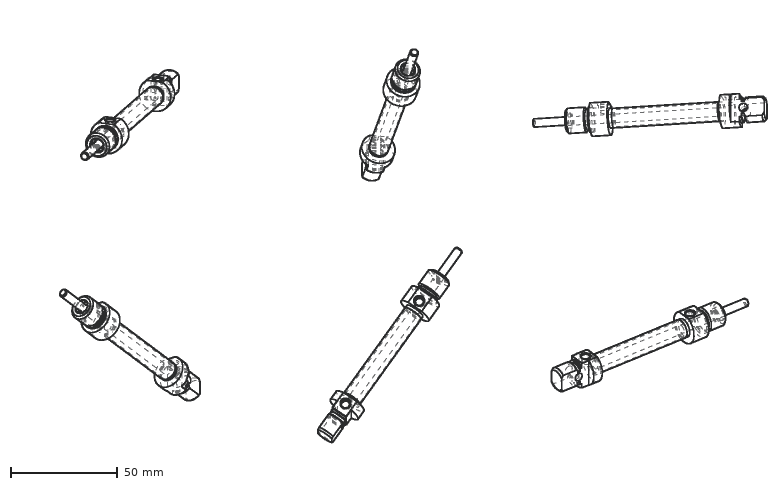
import cadquery as cq


rod_diameter = 4.0
rod_tip_chamfer = 0.5

barrel_diameter = 9.3
barrel_bore = 8.0
neck_diameter = 9.2
barrel_start = 38.2
barrel_end = 88.8

block_diameter = 16.0
flat_height = 7.0
front_block_start = 27.9
front_block_end = 36.6
rear_block_start = 90.1
rear_block_end = 99.1

thread_diameter = 12.0
undercut_diameter = 10.0
collar_length = 1.0
undercut_length = 1.3
runout_length = 0.5
end_chamfer = 1.0
front_nose_start = 15.9
overall_length = 111.0

recess_mouth_diameter = 7.1
recess_diameter = 6.7
recess_chamfer = (recess_mouth_diameter - recess_diameter) / 2
recess_depth = 2.4
taper_start_diameter = 4.7
taper_end_diameter = 4.4
taper_length = 0.5

port_diameter = 4.1
port_mouth_diameter = 5.1
port_floor_diameter = 8.0
port_chamfer = (port_mouth_diameter - port_diameter) / 2
front_port_y = 33.1
rear_port_y = 94.0

tongue_width = 8.0
tongue_start = 95.1
pivot_diameter = 4.0
pivot_y = 101.0


def revolve_profile(points):
    """Solid of revolution about Y from (radius, y) points."""
    return cq.Workplane("XY").polyline(points).close().revolve(360, (0, 0, 0), (0, 1, 0))


def cylinder(diameter, start, end):
    return revolve_profile([(0, start), (diameter / 2, start), (diameter / 2, end), (0, end)])


def make_block(start, end):
    """Round block with a flat top."""
    above_flat = cq.Workplane("XY").box(
        block_diameter, end - start, block_diameter, centered=(True, False, False)
    ).translate((0, start, flat_height))
    return cylinder(block_diameter, start, end).cut(above_flat)


def make_nose(block_face, tip, direction):
    """Collar, undercut and chamfered thread, from the block face outward along +Y or -Y."""
    thread_radius = thread_diameter / 2
    undercut_radius = undercut_diameter / 2
    collar_end = block_face + direction * collar_length
    undercut_end = collar_end + direction * undercut_length
    runout_end = undercut_end + direction * runout_length
    return revolve_profile([
        (0, block_face),
        (thread_radius, block_face),
        (thread_radius, collar_end),
        (undercut_radius, collar_end),
        (undercut_radius, undercut_end),
        (thread_radius, runout_end),
        (thread_radius, tip - direction * end_chamfer),
        (thread_radius - end_chamfer, tip),
        (0, tip),
    ])


def make_port(y):
    """Cutter for a blind port with a chamfered mouth and a floor curved around the Y axis."""
    port_radius = port_diameter / 2
    drill = (
        cq.Workplane("XZ")
        .polyline([
            (0, 0),
            (port_radius, 0),
            (port_radius, flat_height - port_chamfer),
            (port_mouth_diameter / 2, flat_height),
            (0, flat_height),
        ])
        .close()
        .revolve(360, (0, 0, 0), (0, 1, 0))
        .translate((0, y, 0))
    )
    core = cylinder(port_floor_diameter, y - port_diameter, y + port_diameter)
    return drill.cut(core)


def make_rod():
    return cylinder(rod_diameter, 0, barrel_end).faces("<Y").chamfer(rod_tip_chamfer)


def make_barrel():
    return cylinder(barrel_diameter, barrel_start, barrel_end).cut(
        cylinder(barrel_bore, barrel_start, barrel_end)
    )


def make_front_cap():
    recess_floor = front_nose_start + recess_depth
    taper_end = recess_floor + taper_length
    recess = revolve_profile([
        (0, front_nose_start),
        (recess_mouth_diameter / 2, front_nose_start),
        (recess_diameter / 2, front_nose_start + recess_chamfer),
        (recess_diameter / 2, recess_floor),
        (taper_start_diameter / 2, recess_floor),
        (taper_end_diameter / 2, taper_end),
        (0, taper_end),
    ])
    return (
        make_block(front_block_start, front_block_end)
        .union(make_nose(front_block_start, front_nose_start, -1))
        .union(cylinder(neck_diameter, front_block_end, barrel_start))
        .cut(cylinder(rod_diameter, front_nose_start, barrel_start))
        .cut(recess)
        .cut(make_port(front_port_y))
    )


def make_rear_cap():
    cap = (
        make_block(rear_block_start, rear_block_end)
        .union(make_nose(rear_block_end, overall_length, 1))
        .union(cylinder(neck_diameter, barrel_end, rear_block_start))
    )
    tongue_length = overall_length - tongue_start
    for side in (-1, 1):
        side_cut = cq.Workplane("XY").box(
            block_diameter, tongue_length, block_diameter + 1.1, centered=(True, False, True)
        ).translate((side * (tongue_width + block_diameter) / 2, tongue_start, 0))
        cap = cap.cut(side_cut)
    pivot_hole = (
        cq.Workplane("YZ").center(pivot_y, 0).circle(pivot_diameter / 2).extrude(tongue_width, both=True)
    )
    return cap.cut(pivot_hole).cut(make_port(rear_port_y))


rod = make_rod()
barrel = make_barrel()
front_cap = make_front_cap()
rear_cap = make_rear_cap()

result = cq.Compound.makeCompound([rod.val(), barrel.val(), front_cap.val(), rear_cap.val()])